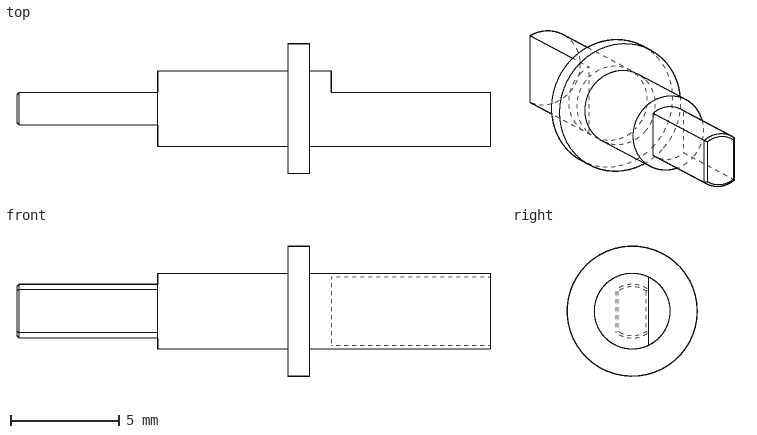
import cadquery as cq

total_length = 21.85
tang_length = 6.5
flange_start = 12.5
flange_thickness = 1.0
flat_start = 14.5

body_diameter = 3.5
flange_diameter = 6.0
tang_diameter = 2.5
tang_width = 1.5
tip_chamfer = 0.1
flat_offset = tang_width / 2


def cylinder(start, length, diameter):
    """Cylinder on the X axis, beginning at X = start."""
    return cq.Workplane("YZ", origin=(start, 0, 0)).circle(diameter / 2).extrude(length)


def make_tang():
    """Round bar with two parallel flats facing -Y and +Y and a chamfered tip."""
    slab = cq.Workplane("YZ").rect(tang_width, tang_diameter).extrude(tang_length)
    tang = cylinder(0, tang_length, tang_diameter).intersect(slab)
    return tang.faces("<X").chamfer(tip_chamfer)


def make_flat_cutter():
    """Block removing the +Y side of the body from flat_start to the far end."""
    return cq.Workplane("XY").box(
        total_length - flat_start, body_diameter, body_diameter, centered=(False, False, True)
    ).translate((flat_start, flat_offset, 0))


body = cylinder(tang_length, total_length - tang_length, body_diameter).cut(make_flat_cutter())
flange = cylinder(flange_start, flange_thickness, flange_diameter)
result = body.union(flange).union(make_tang())